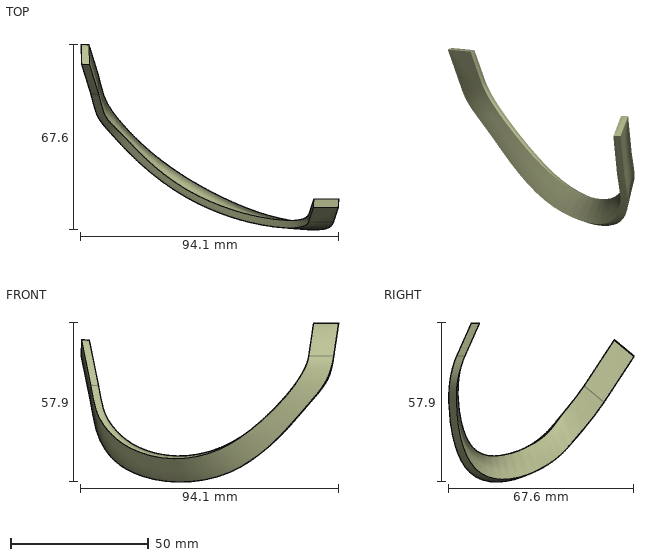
import cadquery as cq

V = cq.Vector

thickness = 2.8
lean_left = 0.75
lean_right = 1.3

left_leg = V(3.4, -10.9, -16.7)
right_leg = V(1.8, 5.4, 12.0)

stations = [
    (V(3.6, 49.6, 35.5), V(3.4, 56.8, 29.5)),
    (V(6.6, 40.5, 23.7), V(6.2, 47.05, 16.9)),
    (V(10.1, 36.1, 18.6), V(10.8, 39.6, 9.3)),
    (V(21.55, 24.3, 10.9), V(23.1, 27.1, 2.0)),
    (V(38.7, 11.8, 8.8), V(40.9, 14.7, 0.3)),
    (V(51.8, 5.7, 12.6), V(56.5, 6.8, 4.6)),
    (V(66.8, 1.7, 23.4), V(72.8, 1.4, 17.2)),
    (V(75.8, 0.75, 32.9), V(82.8, 0.1, 28.4)),
    (V(80.5, 1.2, 39.5), V(89.7, 0.6, 37.6)),
    (V(83.0, 2.9, 46.0), V(92.1, 2.9, 46.0)),
]
last = len(stations) - 1


def along_band(i):
    """Unit direction of the band at station i."""
    if i == 0:
        return left_leg.normalized()
    if i == last:
        return right_leg.normalized()
    before = stations[i - 1]
    after = stations[i + 1]
    return (after[0] + after[1] - before[0] - before[1]).normalized()


def section(i):
    """Corners at station i: outer upper, outer lower, inner lower, inner upper."""
    upper, lower = stations[i]
    direction = along_band(i)
    inward = direction.cross(lower - upper).normalized()
    lean = lean_left + (lean_right - lean_left) * i / last
    to_inner = inward * thickness + direction * lean
    return [upper, lower, lower + to_inner, upper + to_inner]


def band_solid(edges):
    """Solid bounded by four long edges, in order round the section, and two flat ends."""
    neighbours = edges[1:] + edges[:1]
    faces = [cq.Face.makeRuledSurface(a, b) for a, b in zip(edges, neighbours)]
    for end in (0, 1):
        corners = [edge.positionAt(end) for edge in edges]
        faces.append(cq.Face.makeFromWires(cq.Wire.makePolygon(corners, close=True)))
    solid = cq.Solid.makeSolid(cq.Shell.makeShell(faces))
    return cq.Workplane(obj=solid.fix())


def leg(corners, vector):
    """Straight leg running from a section along a vector."""
    return band_solid([cq.Edge.makeLine(corner, corner + vector) for corner in corners])


sections = [section(i) for i in range(len(stations))]
end_directions = [along_band(0), along_band(last)]
curved_edges = [
    cq.Edge.makeSpline(list(points), tangents=end_directions, scale=False) for points in zip(*sections)
]

curve = band_solid(curved_edges)
left = leg(sections[0], left_leg * -1)
right = leg(sections[last], right_leg)
result = curve.union(left).union(right)